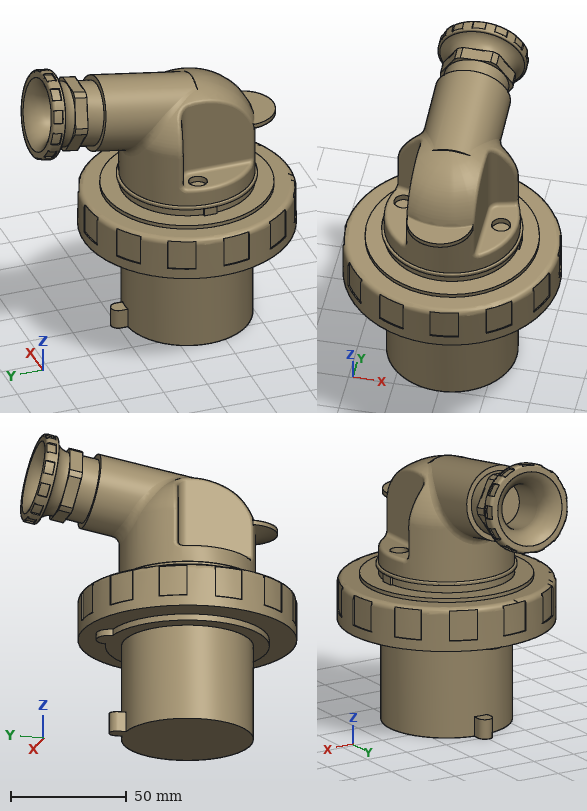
import cadquery as cq
import math

BARREL_RADIUS = 28.5
FLANGE_RADIUS = 35.4
FLANGE_BOTTOM = 42.5
BODY_RADIUS = 29.5
DOME_BASE = 94.7
DOME_TOP = 118.2
DOME_APEX_SLOPE = 0.2
DOME_POINTS = [(14.6, 114.2), (21.9, 109.5), (27.2, 102.6)]

KEY_RADIUS = 3.3
KEY_CENTRE_Y = 31.5
KEY_HEIGHT = 8.9
LUG_RADIUS = 6.0
LUG_CENTRE_Y = 34.6

LIP_RADIUS = 30.5
LIP_BOTTOM = 69.8
LIP_HEIGHT = 1.3
LIP_ROUND = 0.5
TAB_SPAN = 60.6
TAB_WIDTH = 6.0

POCKET_FLOOR = 79.0
POCKET_WALL_X = 15.0
POCKET_BACK_Y = 8.2
POCKET_BACK_ANGLE = 14.0
POCKET_CORNER_RADIUS = 5.0
POCKET_FLOOR_RADIUS = 2.0
POCKET_EDGE_RADIUS = 1.7
POCKET_MARGIN = 39.8
SCREW_HOLE_RADIUS = 8.1 / 2
SCREW_HOLE_DEPTH = 2.7
SCREW_HOLE_X = 22.1
SCREW_HOLE_Y = 2.9

REST_RADIUS = 14.5
REST_CENTRE_Y = -25.3
REST_TOP = 97.5
REST_EDGE = 2.0
REST_BLEND = 0.7
REST_CONE_DEPTH = 4.6

OUTLET_TILT = 9.5
SHOULDER_Y = 43.8
SHOULDER_Z = 109.3
TUBE_RADIUS = 16.6
TUBE_LENGTH = 43.9
TUBE_BLEND = 4.0

NECK_RADIUS = 28.5 / 2
HEX_START = 7.7
HEX_LENGTH = 5.7
HEX_ACROSS_FLATS = 29.0
HEX_TURN = 30.0
HEX_CORNER_RADIUS = 32.0 / 2
RIM_START = 19.8
GLAND_LENGTH = 25.3
RIM_RADIUS = 19.6
RIM_FRONT_ROUND = 1.3
RIM_BACK_ROUND = 0.5
RIM_BACK_RADIUS = 18.7
MOUTH_RADIUS = 16.2
BORE_RADIUS = 10.0
FLARE_LENGTH = 10.0
RIM_NOTCHES = 12
RIM_NOTCH_ANGLE = 16.8
RIM_NOTCH_START = 17.7
RIM_NOTCH_DEPTH = 0.7
RIM_LEDGE = 1.3

RING_RADIUS = 94.5 / 2
RING_BOTTOM = 45.2
RING_TOP = 64.5
RING_ROUND = 2.7
COLLAR_RADIUS = 37.7
COLLAR_TOP = 66.2
GRIP_COUNT = 12
GRIP_BOTTOM = 50.0
GRIP_DEPTH = 0.6
GRIP_ANGLE = 15.0

CLEARANCE = 1.3
TOLERANCE = 0.1


def cylinder(radius, bottom, top, x=0, y=0):
    return cq.Workplane("XY", origin=(x, y, bottom)).circle(radius).extrude(top - bottom)


def ring_sector(outer, inner, start, sweep, bottom, top):
    """Annular sector between two radii, starting at an angle in degrees."""
    def at(radius, degrees):
        angle = math.radians(degrees)
        return (radius * math.cos(angle), radius * math.sin(angle))

    middle = start + sweep / 2
    end = start + sweep
    return (
        cq.Workplane("XY", origin=(0, 0, bottom))
        .moveTo(*at(inner, start))
        .lineTo(*at(outer, start))
        .threePointArc(at(outer, middle), at(outer, end))
        .lineTo(*at(inner, end))
        .threePointArc(at(inner, middle), at(inner, start))
        .close()
        .extrude(top - bottom)
    )


def along_outlet(shape):
    """Move a shape built up the Z axis so that it starts at the tube end face."""
    return (
        shape.rotate((0, 0, 0), (1, 0, 0), OUTLET_TILT - 90)
        .translate((0, SHOULDER_Y, SHOULDER_Z))
    )


def pocket_cutter(side):
    """Open-topped pocket on one side of the body; side is +1 or -1 in X."""
    far_x = POCKET_WALL_X + POCKET_MARGIN
    back_rise = POCKET_MARGIN * math.tan(math.radians(POCKET_BACK_ANGLE))
    cutter = (
        cq.Workplane("XY", origin=(0, 0, POCKET_FLOOR))
        .polyline([
            (POCKET_WALL_X, -POCKET_MARGIN),
            (far_x, -POCKET_MARGIN),
            (far_x, POCKET_BACK_Y + back_rise),
            (POCKET_WALL_X, POCKET_BACK_Y),
        ])
        .close()
        .extrude(DOME_TOP - POCKET_FLOOR)
    )
    corner = cq.selectors.NearestToPointSelector((POCKET_WALL_X, POCKET_BACK_Y, DOME_BASE))
    cutter = cutter.edges(corner).fillet(POCKET_CORNER_RADIUS)
    cutter = cutter.faces("<Z").edges("<X").fillet(POCKET_FLOOR_RADIUS)
    return cutter if side > 0 else cutter.mirror("YZ")


def is_pocket_rim(edge):
    """True for edges where a pocket breaks out through the body wall or the dome."""
    middle = edge.positionAt(0.5)
    on_wall = abs(math.hypot(middle.x, middle.y) - BODY_RADIUS) < TOLERANCE
    if on_wall:
        return POCKET_FLOOR - TOLERANCE < middle.z < DOME_BASE - TOLERANCE
    on_dome = edge.geomType() != "LINE" and middle.z > DOME_BASE + TOLERANCE
    return on_dome and abs(middle.x) > POCKET_WALL_X - TOLERANCE


def make_upright_body():
    """Body wall, dome and blended outlet tube, with two round-edged side pockets."""
    body = (
        cq.Workplane("YZ")
        .moveTo(0, RING_BOTTOM)
        .lineTo(BODY_RADIUS, RING_BOTTOM)
        .lineTo(BODY_RADIUS, DOME_BASE)
        .spline(
            DOME_POINTS[::-1] + [(0, DOME_TOP)],
            tangents=[(0, 1), (-1, DOME_APEX_SLOPE)],
            includeCurrent=True,
        )
        .close()
        .revolve(360, (0, 0, 0), (0, 1, 0))
    )
    tube = cylinder(TUBE_RADIUS, -TUBE_LENGTH, 0).rotate((0, 0, 0), (0, 0, 1), 90)
    body = body.union(along_outlet(tube))

    tilt = math.radians(OUTLET_TILT)
    junction_z = SHOULDER_Z - (SHOULDER_Y - BODY_RADIUS) * math.tan(tilt) - TUBE_RADIUS / math.cos(tilt)
    lowest_point = cq.selectors.NearestToPointSelector((0, BODY_RADIUS, junction_z))
    body = body.edges(lowest_point).fillet(TUBE_BLEND)

    for side in (1, -1):
        body = body.cut(pocket_cutter(side))
    rim = [edge for edge in body.edges().vals() if is_pocket_rim(edge)]
    return body.newObject(rim).fillet(POCKET_EDGE_RADIUS)


def make_thumb_rest():
    """Round ledge, half buried in the body, with a conical underside."""
    profile = (
        cq.Workplane("XZ")
        .moveTo(0, REST_TOP)
        .lineTo(REST_RADIUS, REST_TOP)
        .lineTo(REST_RADIUS, REST_TOP - REST_EDGE)
        .lineTo(0, REST_TOP - REST_EDGE - REST_CONE_DEPTH)
        .close()
    )
    return profile.revolve(360, (0, 0, 0), (0, 1, 0)).translate((0, REST_CENTRE_Y, 0))


def make_round_bar(radius, centre_y, bottom, height):
    """Round-ended block reaching from the Z axis out to +Y."""
    block = cq.Workplane("XY", origin=(0, centre_y / 2, bottom)).rect(2 * radius, centre_y).extrude(height)
    return block.union(cylinder(radius, bottom, bottom + height, y=centre_y))


def make_housing():
    housing = make_upright_body().union(make_thumb_rest())
    rest_root = cq.selectors.NearestToPointSelector((0, -BODY_RADIUS, REST_TOP))
    housing = housing.edges(rest_root).fillet(REST_BLEND)
    underside_z = REST_TOP - REST_EDGE - REST_CONE_DEPTH
    underside_root = cq.selectors.NearestToPointSelector((0, -BODY_RADIUS, underside_z))
    housing = housing.edges(underside_root).fillet(REST_BLEND)

    housing = housing.union(cylinder(BARREL_RADIUS, 0, RING_BOTTOM))
    housing = housing.union(cylinder(FLANGE_RADIUS, FLANGE_BOTTOM, RING_BOTTOM))
    housing = housing.union(make_round_bar(KEY_RADIUS, KEY_CENTRE_Y, 0, KEY_HEIGHT))
    flange_height = RING_BOTTOM - FLANGE_BOTTOM
    housing = housing.union(make_round_bar(LUG_RADIUS, LUG_CENTRE_Y, FLANGE_BOTTOM, flange_height))

    lip = cylinder(LIP_RADIUS, LIP_BOTTOM, LIP_BOTTOM + LIP_HEIGHT).edges(">Z").fillet(LIP_ROUND)
    tabs = cq.Workplane("XY", origin=(0, 0, COLLAR_TOP)).rect(TAB_SPAN, TAB_WIDTH)
    housing = housing.union(lip).union(tabs.extrude(LIP_BOTTOM - COLLAR_TOP))

    for side in (1, -1):
        screw_hole = cylinder(
            SCREW_HOLE_RADIUS, POCKET_FLOOR - SCREW_HOLE_DEPTH, POCKET_FLOOR,
            side * SCREW_HOLE_X, -side * SCREW_HOLE_Y,
        )
        housing = housing.cut(screw_hole)
    return housing


def make_gland():
    """Cable gland: neck, hexagon with trimmed corners, flared and notched rim, trumpet bore."""
    hex_end = HEX_START + HEX_LENGTH
    profile = (
        cq.Workplane("XZ")
        .moveTo(BORE_RADIUS, 0)
        .lineTo(NECK_RADIUS, 0)
        .lineTo(NECK_RADIUS, hex_end)
        .tangentArcPoint((RIM_BACK_RADIUS, RIM_START), relative=False)
        .lineTo(RIM_RADIUS, RIM_START)
        .lineTo(RIM_RADIUS, GLAND_LENGTH)
        .lineTo(BORE_RADIUS, GLAND_LENGTH)
        .close()
    )
    gland = profile.revolve(360, (0, 0, 0), (0, 1, 0))
    largest_circles = cq.selectors.RadiusNthSelector(-1)
    gland = gland.edges(largest_circles).edges("<Z").fillet(RIM_BACK_ROUND)
    gland = gland.edges(largest_circles).edges(">Z").fillet(RIM_FRONT_ROUND)

    trumpet = (
        cq.Workplane("XZ")
        .lineTo(BORE_RADIUS, 0)
        .lineTo(BORE_RADIUS, GLAND_LENGTH - FLARE_LENGTH)
        .tangentArcPoint((MOUTH_RADIUS, GLAND_LENGTH), relative=False)
        .lineTo(0, GLAND_LENGTH)
        .close()
        .revolve(360, (0, 0, 0), (0, 1, 0))
    )
    gland = gland.cut(trumpet)

    hexagon = (
        cq.Workplane("XY", origin=(0, 0, HEX_START))
        .polygon(6, HEX_ACROSS_FLATS, circumscribed=True)
        .extrude(HEX_LENGTH)
        .rotate((0, 0, 0), (0, 0, 1), HEX_TURN)
        .intersect(cylinder(HEX_CORNER_RADIUS, HEX_START, hex_end))
        .cut(cylinder(BORE_RADIUS, HEX_START, hex_end))
    )
    gland = gland.union(hexagon)

    for index in range(RIM_NOTCHES):
        start = RIM_NOTCH_START + index * 360 / RIM_NOTCHES
        notch = ring_sector(
            RIM_RADIUS + CLEARANCE, RIM_RADIUS - RIM_NOTCH_DEPTH,
            start, RIM_NOTCH_ANGLE, RIM_START + RIM_LEDGE, GLAND_LENGTH,
        )
        gland = gland.cut(notch)
    return along_outlet(gland)


def make_coupling_ring():
    """Turning ring with a raised collar and shallow finger grips around its rim."""
    ring = cylinder(RING_RADIUS, RING_BOTTOM, RING_TOP).edges(">Z").fillet(RING_ROUND)
    ring = ring.union(cylinder(COLLAR_RADIUS, RING_BOTTOM, COLLAR_TOP))
    for index in range(GRIP_COUNT):
        start = index * 360 / GRIP_COUNT
        grip = ring_sector(
            RING_RADIUS + CLEARANCE, RING_RADIUS - GRIP_DEPTH,
            start, GRIP_ANGLE, GRIP_BOTTOM, RING_TOP,
        )
        ring = ring.cut(grip)
    return ring.cut(cylinder(BODY_RADIUS, RING_BOTTOM, COLLAR_TOP))


housing = make_housing()
gland = make_gland()
coupling_ring = make_coupling_ring()

result = cq.Compound.makeCompound([housing.val(), gland.val(), coupling_ring.val()])